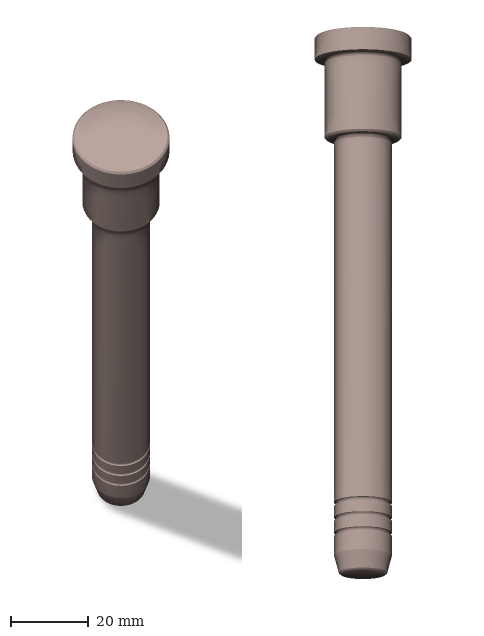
import cadquery as cq
import math

total_length = 142.0
head_height = 6.0
shoulder_length = 21.0
head_bottom = total_length - head_height
shoulder_bottom = head_bottom - shoulder_length

head_radius = 25.0 / 2
shoulder_radius = 20.0 / 2
shaft_radius = 15.0 / 2

head_chamfer = 0.5
shoulder_chamfer = 0.5

relief_height = 1.0
relief_depth = 0.5

taper_height = 5.0
taper_angle = 15.0
tip_chamfer = 0.4
tip_radius = shaft_radius - taper_height * math.tan(math.radians(taper_angle))

groove_radius = 0.5
head_groove_center = head_bottom - groove_radius
tip_groove_count = 3
first_tip_groove_center = 10.5
tip_groove_pitch = 4.0


def add_groove(outline, radius, center_z):
    """Run the outline up through a half-round groove, as two quarter circles."""
    reach = groove_radius * math.sqrt(0.5)
    outline = outline.lineTo(radius, center_z - groove_radius)
    outline = outline.threePointArc(
        (radius - reach, center_z - reach),
        (radius - groove_radius, center_z),
    )
    return outline.threePointArc(
        (radius - reach, center_z + reach),
        (radius, center_z + groove_radius),
    )


def add_tip(outline):
    """Broken lower edge and cone that widens up to the shaft."""
    chamfer_top_radius = tip_radius + tip_chamfer * math.tan(math.radians(taper_angle))
    outline = outline.lineTo(tip_radius - tip_chamfer, 0)
    outline = outline.lineTo(chamfer_top_radius, tip_chamfer)
    return outline.lineTo(shaft_radius, taper_height)


def add_shaft(outline):
    """Shaft with its ring grooves and the relief below the shoulder."""
    for index in range(tip_groove_count):
        center_z = first_tip_groove_center + index * tip_groove_pitch
        outline = add_groove(outline, shaft_radius, center_z)
    relief_bottom = shoulder_bottom - relief_height
    relief_radius = shaft_radius - relief_depth
    outline = outline.lineTo(shaft_radius, relief_bottom)
    outline = outline.lineTo(relief_radius, relief_bottom)
    return outline.lineTo(relief_radius, shoulder_bottom)


def add_shoulder(outline):
    """Shoulder with a broken lower edge and a groove below the head."""
    outline = outline.lineTo(shoulder_radius - shoulder_chamfer, shoulder_bottom)
    outline = outline.lineTo(shoulder_radius, shoulder_bottom + shoulder_chamfer)
    return add_groove(outline, shoulder_radius, head_groove_center)


def add_head(outline):
    """Flat round head with a broken top edge."""
    outline = outline.lineTo(head_radius, head_bottom)
    outline = outline.lineTo(head_radius, total_length - head_chamfer)
    outline = outline.lineTo(head_radius - head_chamfer, total_length)
    return outline.lineTo(0, total_length)


half_outline = cq.Workplane("XZ").moveTo(0, 0)
for add_section in (add_tip, add_shaft, add_shoulder, add_head):
    half_outline = add_section(half_outline)

result = half_outline.close().revolve(360, (0, 0, 0), (0, 1, 0), clean=False)